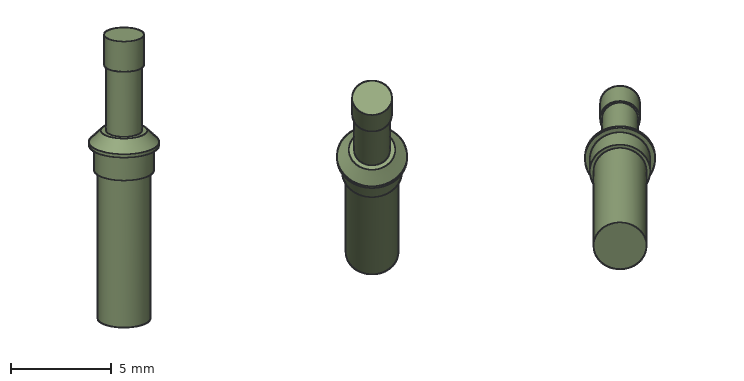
import cadquery as cq

barrel_diameter = 2.65
collar_diameter = 3.0
flange_diameter = 3.5
cone_top_diameter = 2.31
stem_diameter = 1.8
head_diameter = 2.0

total_height = 15.1
barrel_top = 7.9
collar_top = 9.21
flange_top = 9.39
cone_top = 10.0
head_bottom = 13.48


def cylinder(diameter, bottom, top):
    """Solid cylinder on the Z axis between two heights."""
    return cq.Workplane("XY", origin=(0, 0, bottom)).circle(diameter / 2).extrude(top - bottom)


def cone(bottom_diameter, top_diameter, bottom, top):
    """Solid truncated cone on the Z axis between two heights."""
    return (
        cq.Workplane("XY", origin=(0, 0, bottom))
        .circle(bottom_diameter / 2)
        .workplane(offset=top - bottom)
        .circle(top_diameter / 2)
        .loft()
    )


barrel = cylinder(barrel_diameter, 0, barrel_top)
collar = cylinder(collar_diameter, barrel_top, collar_top)

rim = cylinder(flange_diameter, collar_top, flange_top)
shoulder = cone(flange_diameter, cone_top_diameter, flange_top, cone_top)

stem = cylinder(stem_diameter, cone_top, head_bottom)
head = cylinder(head_diameter, head_bottom, total_height)

result = barrel.union(collar).union(rim).union(shoulder).union(stem).union(head)